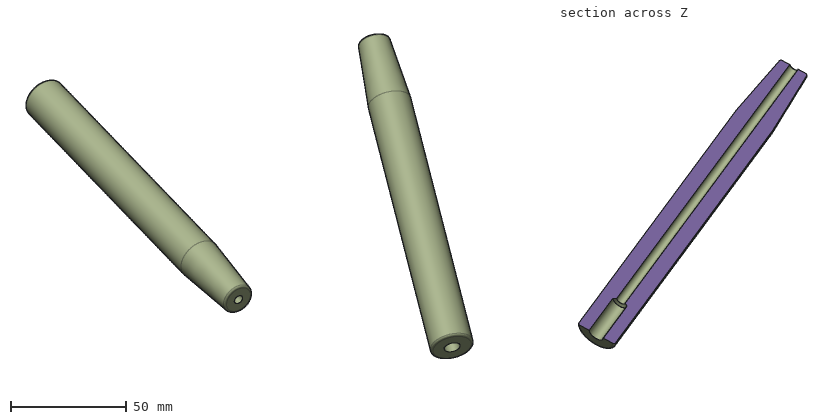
import cadquery as cq
import math

length = 160.0
body_diameter = 19.0
taper_length = 32.0
tip_diameter = 14.0
edge_radius = 1.0

entry_diameter = 7.0
entry_depth = 19.2
drill_point_angle = 118.0
through_diameter = 4.2


def make_body():
    """Cylinder and cone revolved about the X axis, with rounded end edges."""
    profile = (
        cq.Workplane("XY")
        .lineTo(0, body_diameter / 2)
        .lineTo(length - taper_length, body_diameter / 2)
        .lineTo(length, tip_diameter / 2)
        .lineTo(length, 0)
        .close()
    )
    body = profile.revolve(360, (0, 0, 0), (1, 0, 0))
    return body.faces("<X or >X").edges().fillet(edge_radius)


def make_bore():
    """Stepped bore whose entry narrows to the through hole along a drill cone."""
    entry_radius = entry_diameter / 2
    through_radius = through_diameter / 2
    cone_length = (entry_radius - through_radius) / math.tan(math.radians(drill_point_angle / 2))
    profile = (
        cq.Workplane("XY")
        .lineTo(0, entry_radius)
        .lineTo(entry_depth, entry_radius)
        .lineTo(entry_depth + cone_length, through_radius)
        .lineTo(length, through_radius)
        .lineTo(length, 0)
        .close()
    )
    return profile.revolve(360, (0, 0, 0), (1, 0, 0))


result = make_body().cut(make_bore())